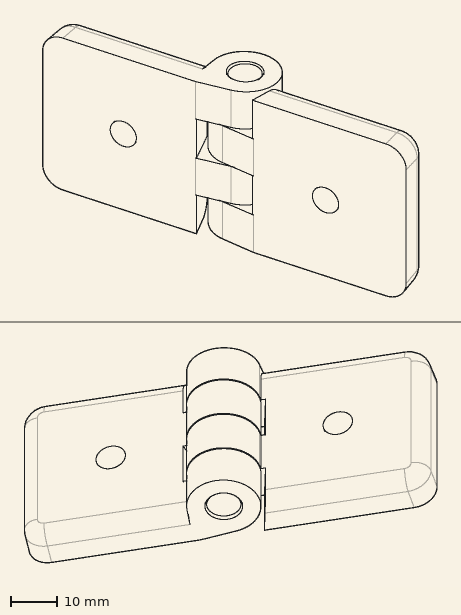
import cadquery as cq
import math

length = 90.1
height = 40.0
plate_thickness = 8.6
draft = 2.5
corner_radius = 5.05
rim_radius = 3.6

barrel_radius = 8.0
axis_depth = 9.0
relief_start = 7.2
root_front = 8.7
edge_front = 6.9
edge_back = 9.1
knuckle_count = 4
knuckle_gap = 0.3
pitch = height / knuckle_count

bore_radius = 4.05
pin_radius = 3.7
pin_recess = 0.5
screw_hole_diameter = 6.5
screw_hole_offset = 25.05


def drafted_block(depth):
    """Block on the mounting face whose four sides lean inwards towards +Y."""
    return cq.Workplane("XZ").rect(length, height).extrude(-depth, taper=draft)


def slot_span(index, first_slot):
    """Bottom and top of a slot counted from the top; a leaf's own knuckles give up the gaps."""
    inset = knuckle_gap / 2 if index % 2 == first_slot else -knuckle_gap / 2
    top = height / 2 - index * pitch
    bottom = top - pitch
    if index > 0:
        top -= inset
    if index < knuckle_count - 1:
        bottom += inset
    return bottom, top


def rounded_block():
    """Drafted block of plate thickness with rounded corners and back rim."""
    block = drafted_block(plate_thickness)
    corners = block.edges("not (<Y or >Y)")
    return corners.fillet(corner_radius).faces(">Y").edges().fillet(rim_radius)


def plate(first_slot):
    """Left plate: its hinge edge reaches the own knuckles and slants clear of the others."""
    half_space = cq.Workplane("XY").box(length, height, height).translate((-length / 2, 0, 0))
    body = rounded_block().intersect(half_space)
    for index in range(knuckle_count):
        bottom, top = slot_span(index, first_slot)
        if index % 2 == first_slot:
            front, back = relief_start, relief_start
        else:
            front, back = edge_front, edge_back
        opening = (
            cq.Workplane("XY").workplane(offset=bottom)
            .polyline([(0, 0), (-front, 0), (-back, plate_thickness), (0, plate_thickness)])
            .close().extrude(top - bottom)
        )
        body = body.cut(opening)
    return body


def tangent_point(x, y, side):
    """Point where the line from (x, y) touches the barrel; side is +1 or -1."""
    distance = math.hypot(x, axis_depth - y)
    to_point = math.atan2(y - axis_depth, x)
    angle = to_point + side * math.acos(barrel_radius / distance)
    return barrel_radius * math.cos(angle), axis_depth + barrel_radius * math.sin(angle)


def knuckle(bottom, top):
    """Left-leaf knuckle: barrel joined tangentially to the mounting face on both flanks."""
    front_tangent = tangent_point(-relief_start, 0, 1)
    rear_tangent = tangent_point(-root_front, 0, -1)
    diagonal = barrel_radius * math.sqrt(0.5)
    return (
        cq.Workplane("XY").workplane(offset=bottom)
        .moveTo(-root_front, 0).lineTo(-relief_start, 0).lineTo(*front_tangent)
        .threePointArc((diagonal, axis_depth + diagonal), rear_tangent)
        .close().extrude(top - bottom)
    )


def leaf(first_slot):
    """Left leaf whose knuckles fill every second slot from first_slot."""
    body = plate(first_slot)
    envelope = drafted_block(axis_depth + barrel_radius)
    for index in range(first_slot, knuckle_count, 2):
        bottom, top = slot_span(index, first_slot)
        body = body.union(knuckle(bottom, top).intersect(envelope))
    bore = (
        cq.Workplane("XY").workplane(offset=-height).center(0, axis_depth)
        .circle(bore_radius).extrude(2 * height)
    )
    screw_hole = (
        cq.Workplane("XZ").center(-screw_hole_offset, 0)
        .circle(screw_hole_diameter / 2).extrude(-plate_thickness)
    )
    return body.cut(bore).cut(screw_hole)


def hinge_pin():
    """Plain pin through all the knuckles."""
    half_length = height / 2 - axis_depth * math.tan(math.radians(draft)) - pin_recess
    return (
        cq.Workplane("XY").workplane(offset=-half_length).center(0, axis_depth)
        .circle(pin_radius).extrude(2 * half_length)
    )


left_leaf = leaf(0).solids()
right_leaf = leaf(1).mirror("YZ").solids()
pin = hinge_pin()

result = cq.Compound.makeCompound([left_leaf.val(), right_leaf.val(), pin.val()])